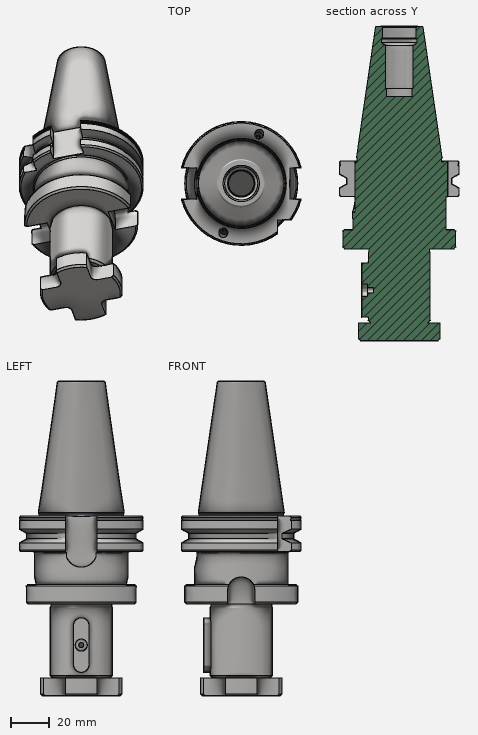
import cadquery as cq
import math

GAUGE_DIA = 44.45
TAPER_LENGTH = 68.4
TAPER_RATE = 7 / 24
TAPER_END_Z = 1.1
TAPER_TIP_FILLET = 1.0

UNDERCUT_NECK_RADIUS = 21.8
UNDERCUT_NECK_Z = 0.3
UNDERCUT_RIM_RADIUS = 23.1
UNDERCUT_FACE_DEPTH = 0.4

FLANGE_DIA = 63.55
FLANGE_TOP_Z = -0.7
FLANGE_BOTTOM_Z = -19.1
FLANGE_CHAMFER = 0.8
FLANGE_ROOT_FILLET = 0.7
GROOVE_Z = -11.1
GROOVE_DIA = 56.25
GROOVE_FLOOR_WIDTH = 2.9
GROOVE_FLANK_ANGLE = 30
GROOVE_FILLET = 0.4
RING_MARK_TOP_Z = -2.2
RING_MARK_WIDTH = 1.0
RING_MARK_DEPTH = 0.4

KEYWAY_WIDTH = 16.1
SHALLOW_KEYWAY_X = 25.0
DEEP_KEYWAY_X = 22.8
DEEP_KEYWAY_END_Z = -27.0
NOTCH_OFFSET = 18.7

COOLANT_HOLE_DIA = 4.5
COOLANT_HOLE_DEPTH = 6.0
COOLANT_CORE_DIA = 2.2
COOLANT_CORE_DEPTH = 9.0
COOLANT_CIRCLE_RADIUS = 27.0
COOLANT_ANGLE = 70
COOLANT_TILT = 15

BODY_DIA = 48.0
COLLAR_DIA = 58.0
COLLAR_TOP_Z = -36.0
COLLAR_BOTTOM_Z = -46.0
COLLAR_TOP_CHAMFER = 0.8
COLLAR_BOTTOM_CHAMFER = 1.0
PILOT_DIA = 32.0
PILOT_BOTTOM_Z = -83.8
PILOT_CHAMFER = 1.2
RELIEF_DEPTH = 0.35
RELIEF_NECK_LENGTH = 0.9
RELIEF_LENGTH = 2.0

DRIVE_SLOT_WIDTH = 14.0
DRIVE_SLOT_FLOOR = 16.2
DRIVE_SLOT_TOP_Z = -32.1

KEY_LENGTH = 28.0
KEY_WIDTH = 8.0
KEY_TOP_Z = -53.0
KEY_MIDDLE_Z = KEY_TOP_Z - KEY_LENGTH / 2
KEY_OUTER_X = 19.3
KEY_HOLE_DIA = 2.6
KEY_HOLE_DEPTH = 6.0
KEY_COUNTERBORE_DIA = 6.2
KEY_COUNTERBORE_DEPTH = 3.0

SCREW_DIA = 42.0
SCREW_BOTTOM_Z = -93.0
SCREW_CHAMFER = 1.0
LOBE_WIDTH = 16.0
LOBE_FILLET = 3.0

BORE_DIA = 17.0
BORE_MOUTH_CHAMFER = 0.8
BORE_GROOVE_DIA = 18.2
BORE_GROOVE_START = 6.0
BORE_GROOVE_END = 9.0
THREAD_DIA = 14.0
THREAD_DEPTH = 32.0
THREAD_LEAD_IN_ANGLE = 30
CORE_DIA = 13.0
CORE_DEPTH = 36.0

CLEAR = 10.0


def cylinder(diameter, z_low, z_high):
    return cq.Workplane("XY").workplane(offset=z_low).circle(diameter / 2).extrude(z_high - z_low)


def revolve_profile(points):
    """Solid of revolution about Z from (radius, z) points."""
    return cq.Workplane("XZ").polyline(points).close().revolve(360, (0, 0, 0), (0, 1, 0))


def make_taper():
    tip_radius = (GAUGE_DIA - TAPER_LENGTH * TAPER_RATE) / 2
    end_radius = (GAUGE_DIA - TAPER_END_Z * TAPER_RATE) / 2
    taper = revolve_profile([
        (0, FLANGE_BOTTOM_Z),
        (UNDERCUT_NECK_RADIUS, FLANGE_BOTTOM_Z),
        (UNDERCUT_NECK_RADIUS, UNDERCUT_NECK_Z),
        (end_radius, TAPER_END_Z),
        (tip_radius, TAPER_LENGTH),
        (0, TAPER_LENGTH),
    ])
    return taper.faces(">Z").edges().fillet(TAPER_TIP_FILLET)


def make_flange():
    flange = cylinder(FLANGE_DIA, FLANGE_BOTTOM_Z, FLANGE_TOP_Z).edges().chamfer(FLANGE_CHAMFER)
    undercut = revolve_profile([
        (UNDERCUT_NECK_RADIUS, FLANGE_TOP_Z),
        (UNDERCUT_NECK_RADIUS, FLANGE_TOP_Z - UNDERCUT_FACE_DEPTH),
        (UNDERCUT_RIM_RADIUS - UNDERCUT_FACE_DEPTH, FLANGE_TOP_Z - UNDERCUT_FACE_DEPTH),
        (UNDERCUT_RIM_RADIUS, FLANGE_TOP_Z),
    ])
    return flange.cut(undercut).cut(make_v_groove()).cut(make_ring_mark())


def make_v_groove():
    rim = FLANGE_DIA / 2
    floor = GROOVE_DIA / 2
    floor_half = GROOVE_FLOOR_WIDTH / 2
    mouth_half = floor_half + (rim - floor) * math.tan(math.radians(GROOVE_FLANK_ANGLE))
    groove = revolve_profile([
        (floor, GROOVE_Z - floor_half),
        (rim, GROOVE_Z - mouth_half),
        (rim, GROOVE_Z + mouth_half),
        (floor, GROOVE_Z + floor_half),
    ])
    floor_edges = cq.selectors.RadiusNthSelector(0)
    return groove.edges(floor_edges).fillet(GROOVE_FILLET)


def make_ring_mark():
    z_low = RING_MARK_TOP_Z - RING_MARK_WIDTH
    outer = cylinder(FLANGE_DIA, z_low, RING_MARK_TOP_Z)
    return outer.cut(cylinder(FLANGE_DIA - 2 * RING_MARK_DEPTH, z_low, RING_MARK_TOP_Z))


def make_body():
    body = cylinder(BODY_DIA, COLLAR_TOP_Z, FLANGE_BOTTOM_Z)
    radius = BODY_DIA / 2
    outer = radius + FLANGE_ROOT_FILLET
    low = FLANGE_BOTTOM_Z - FLANGE_ROOT_FILLET
    bend = FLANGE_ROOT_FILLET * math.sqrt(0.5)
    root = (
        cq.Workplane("XZ")
        .moveTo(0, FLANGE_BOTTOM_Z)
        .lineTo(outer, FLANGE_BOTTOM_Z)
        .threePointArc((outer - bend, low + bend), (radius, low))
        .lineTo(0, low)
        .close()
        .revolve(360, (0, 0, 0), (0, 1, 0))
    )
    return body.union(root)


def make_collar():
    collar = cylinder(COLLAR_DIA, COLLAR_BOTTOM_Z, COLLAR_TOP_Z)
    collar = collar.faces(">Z").edges().chamfer(COLLAR_TOP_CHAMFER)
    return collar.faces("<Z").edges().chamfer(COLLAR_BOTTOM_CHAMFER)


def make_pilot():
    radius = PILOT_DIA / 2
    neck_radius = radius - RELIEF_DEPTH
    return revolve_profile([
        (0, COLLAR_BOTTOM_Z),
        (neck_radius, COLLAR_BOTTOM_Z),
        (neck_radius, COLLAR_BOTTOM_Z - RELIEF_NECK_LENGTH),
        (radius, COLLAR_BOTTOM_Z - RELIEF_LENGTH),
        (radius, PILOT_BOTTOM_Z + PILOT_CHAMFER),
        (radius - PILOT_CHAMFER, PILOT_BOTTOM_Z),
        (0, PILOT_BOTTOM_Z),
    ])


def key_face():
    return cq.Workplane("YZ").workplane(offset=-KEY_OUTER_X).center(0, KEY_MIDDLE_Z)


def make_key():
    return key_face().slot2D(KEY_LENGTH, KEY_WIDTH, 90).extrude(KEY_OUTER_X)


def make_key_hole():
    counterbore = key_face().circle(KEY_COUNTERBORE_DIA / 2).extrude(KEY_COUNTERBORE_DEPTH)
    hole = key_face().circle(KEY_HOLE_DIA / 2).extrude(KEY_HOLE_DEPTH)
    return counterbore.union(hole)


def make_screw_head():
    height = PILOT_BOTTOM_Z - SCREW_BOTTOM_Z
    disc = cylinder(SCREW_DIA, SCREW_BOTTOM_Z, PILOT_BOTTOM_Z).faces("<Z").edges().chamfer(SCREW_CHAMFER)
    plane = cq.Workplane("XY").workplane(offset=SCREW_BOTTOM_Z)
    bar_length = SCREW_DIA + CLEAR
    cross = plane.rect(bar_length, LOBE_WIDTH).extrude(height)
    cross = cross.union(plane.rect(LOBE_WIDTH, bar_length).extrude(height))
    inner_corners = cq.selectors.BoxSelector(
        (-LOBE_WIDTH, -LOBE_WIDTH, SCREW_BOTTOM_Z), (LOBE_WIDTH, LOBE_WIDTH, PILOT_BOTTOM_Z)
    )
    cross = cross.edges("|Z").edges(inner_corners).fillet(LOBE_FILLET)
    return disc.intersect(cross)


def make_rounded_slot(floor, width, end_z, open_z):
    """Cutter outwards from a flat floor at y = floor; semicircular at end_z, square at open_z."""
    half = width / 2
    arc_z = end_z + math.copysign(half, open_z - end_z)
    return (
        cq.Workplane("XZ")
        .workplane(offset=-floor)
        .moveTo(-half, open_z)
        .lineTo(-half, arc_z)
        .threePointArc((0, end_z), (half, arc_z))
        .lineTo(half, open_z)
        .close()
        .extrude(-FLANGE_DIA)
    )


def cut_flange_openings(part):
    height = FLANGE_TOP_Z - FLANGE_BOTTOM_Z
    plane = cq.Workplane("XY").workplane(offset=FLANGE_BOTTOM_Z)
    shallow = plane.center(SHALLOW_KEYWAY_X + CLEAR, 0).rect(2 * CLEAR, KEYWAY_WIDTH).extrude(height)
    notch_centre = NOTCH_OFFSET + CLEAR
    notch = plane.center(notch_centre, -notch_centre).rect(2 * CLEAR, 2 * CLEAR).extrude(height)
    deep = make_rounded_slot(DEEP_KEYWAY_X, KEYWAY_WIDTH, DEEP_KEYWAY_END_Z, FLANGE_TOP_Z)
    deep = deep.rotate((0, 0, 0), (0, 0, 1), 90)
    return part.cut(shallow).cut(notch).cut(deep)


def cut_drive_slots(part):
    slot = make_rounded_slot(DRIVE_SLOT_FLOOR, DRIVE_SLOT_WIDTH, DRIVE_SLOT_TOP_Z, COLLAR_BOTTOM_Z)
    for angle in (0, 180):
        part = part.cut(slot.rotate((0, 0, 0), (0, 0, 1), angle))
    return part


def cut_coolant_holes(part):
    hole = cylinder(COOLANT_HOLE_DIA, -COOLANT_HOLE_DEPTH, CLEAR)
    hole = hole.union(cylinder(COOLANT_CORE_DIA, -COOLANT_CORE_DEPTH, 0))
    hole = hole.rotate((0, 0, 0), (0, 1, 0), COOLANT_TILT)
    hole = hole.translate((COOLANT_CIRCLE_RADIUS, 0, FLANGE_TOP_Z))
    for angle in (COOLANT_ANGLE, COOLANT_ANGLE + 180):
        part = part.cut(hole.rotate((0, 0, 0), (0, 0, 1), angle))
    return part


def make_drawbar_bore():
    bore = BORE_DIA / 2
    groove = BORE_GROOVE_DIA / 2
    groove_bevel = groove - bore
    thread = THREAD_DIA / 2
    core = CORE_DIA / 2
    lead_in_end = BORE_GROOVE_END + (bore - thread) * math.tan(math.radians(THREAD_LEAD_IN_ANGLE))
    radius_and_depth = [
        (0, 0),
        (bore + BORE_MOUTH_CHAMFER, 0),
        (bore, BORE_MOUTH_CHAMFER),
        (bore, BORE_GROOVE_START),
        (groove, BORE_GROOVE_START + groove_bevel),
        (groove, BORE_GROOVE_END - groove_bevel),
        (bore, BORE_GROOVE_END),
        (thread, lead_in_end),
        (thread, THREAD_DEPTH),
        (core, THREAD_DEPTH),
        (core, CORE_DEPTH),
        (0, CORE_DEPTH),
    ]
    return revolve_profile([(radius, TAPER_LENGTH - depth) for radius, depth in radius_and_depth])


part = make_taper().union(make_flange()).union(make_body()).union(make_collar())
part = cut_flange_openings(part)
part = cut_drive_slots(part)
part = cut_coolant_holes(part)
part = part.union(make_pilot()).union(make_key()).union(make_screw_head())
result = part.cut(make_drawbar_bore()).cut(make_key_hole())